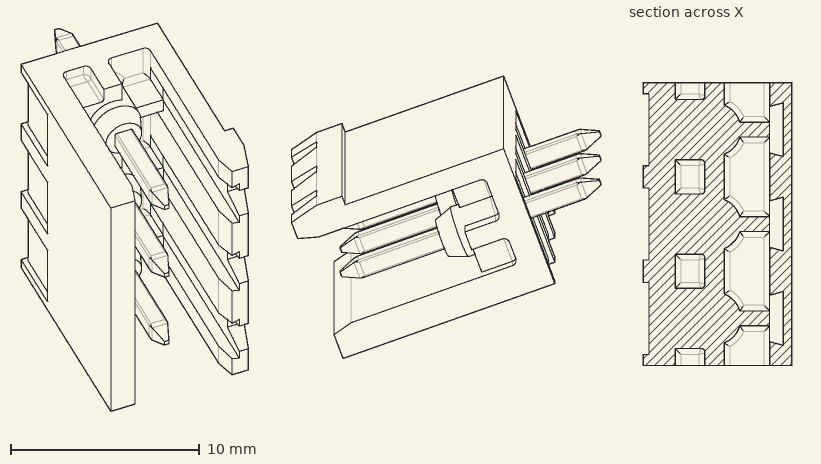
import cadquery as cq
import math


pole_count = 3
pitch = 5.0
height = pole_count * pitch
pin_y = 3.78
pole_heights = [(i + 0.5) * pitch for i in range(pole_count)]

housing_length = 11.95
back_thickness = 1.47
plain_wall_y = 1.7
latch_wall_inner_y = 6.7
latch_wall_outer_y = 7.88
mouth_taper_length = 1.08
mouth_taper_depth = 0.3
latch_start_x = 8.94
latch_flat_end_x = 10.37
latch_top_y = 8.38
latch_tip_y = 7.95

rib_end_x = 3.5
spine_width = 1.04
latch_rib_thickness = 0.8
plain_rib_thickness = 3.2
plain_rib_fillet_radius = 0.18
root_radius = 0.3
collar_diameter = 2.8
collar_tip_diameter = 2.06
collar_shoulder_x = 3.98
collar_tip_x = 4.97

groove_width = 2.45
groove_floor_y = 7.42
groove_flank_angle = 15.0
notch_inner_width = 1.08
notch_outer_width = 1.86

recess_height = 3.8
rear_recess_depth = 0.25
rear_recess_width = 6.0
side_recess_depth = 0.3
side_recess_length = 3.5

pin_width = 1.0
pin_tip_width = 0.26
pin_edge_radius = 0.1
pin_rear_x = -3.95
pin_front_x = 10.69
pin_taper_length = 1.05
pin_shoulder_radius = 0.85

selection_margin = 0.01


def box(x_range, y_range, z_range):
    """Axis-aligned block between the given limits."""
    lengths = [high - low for low, high in (x_range, y_range, z_range)]
    corner = (x_range[0], y_range[0], z_range[0])
    return cq.Workplane("XY").box(*lengths, centered=False).translate(corner)


def centered_range(middle, width):
    return (middle - width / 2, middle + width / 2)


def make_shell():
    """U-shaped housing with a latch lip, its back filled out to the height of the ribs."""
    taper_start_x = housing_length - mouth_taper_length
    outline = [
        (0, 0),
        (housing_length, 0),
        (housing_length, plain_wall_y - mouth_taper_depth),
        (taper_start_x, plain_wall_y),
        (rib_end_x, plain_wall_y),
        (rib_end_x, latch_wall_inner_y),
        (taper_start_x, latch_wall_inner_y),
        (housing_length, latch_wall_inner_y + mouth_taper_depth),
        (housing_length, latch_tip_y),
        (latch_flat_end_x, latch_top_y),
        (latch_start_x, latch_top_y),
        (latch_start_x, latch_wall_outer_y),
        (0, latch_wall_outer_y),
    ]
    return cq.Workplane("XY").polyline(outline).close().extrude(height)


def make_collar(z):
    """Round collar around a pin, with a flared root and a conical nose."""
    radius = collar_diameter / 2
    flare_radius = radius + root_radius
    flare_end_x = back_thickness + root_radius
    arc_inset = root_radius * (1 - math.sqrt(0.5))
    profile = (
        cq.Workplane("XY")
        .moveTo(back_thickness / 2, 0)
        .lineTo(back_thickness / 2, flare_radius)
        .lineTo(back_thickness, flare_radius)
        .threePointArc((back_thickness + arc_inset, radius + arc_inset), (flare_end_x, radius))
        .lineTo(collar_shoulder_x, radius)
        .lineTo(collar_tip_x, collar_tip_diameter / 2)
        .lineTo(collar_tip_x, 0)
        .close()
    )
    return profile.revolve(360, (0, 0, 0), (1, 0, 0)).translate((0, pin_y, z))


def make_pockets(y_range, rib_thickness):
    """Row of blocks along Z, to be cut between the ribs; the end blocks reach past the housing."""
    poles_below = [-pitch / 2] + pole_heights
    poles_above = pole_heights + [height + pitch / 2]
    pockets = []
    for lower_pole, upper_pole in zip(poles_below, poles_above):
        z_range = (lower_pole + rib_thickness / 2, upper_pole - rib_thickness / 2)
        pockets.append(box((back_thickness, rib_end_x), y_range, z_range))
    return pockets


def add_supports(housing):
    """Spine along Z, left between two rows of round-bottomed pockets, and a collar at each pole."""
    spine_low_y, spine_high_y = centered_range(pin_y, spine_width)
    for pocket in make_pockets((plain_wall_y, spine_low_y), plain_rib_thickness):
        pocket = pocket.edges("|X and >Y").fillet(plain_rib_fillet_radius)
        housing = housing.cut(pocket.faces("<X").edges().fillet(root_radius))
    for pocket in make_pockets((spine_high_y, latch_wall_inner_y), latch_rib_thickness):
        housing = housing.cut(pocket.faces("<X").edges().fillet(root_radius))
    for z in pole_heights:
        housing = housing.union(make_collar(z))
    return housing


def make_groove(z):
    """Groove along the latch wall, widening towards its floor."""
    start_x = back_thickness + root_radius
    flare = (groove_floor_y - latch_wall_inner_y) * math.tan(math.radians(groove_flank_angle))
    half_mouth = groove_width / 2
    half_floor = half_mouth + flare
    profile = [
        (latch_wall_inner_y, -half_mouth),
        (groove_floor_y, -half_floor),
        (groove_floor_y, half_floor),
        (latch_wall_inner_y, half_mouth),
    ]
    groove = cq.Workplane("YZ").polyline(profile).close().extrude(housing_length - start_x)
    return groove.translate((start_x, 0, z))


def make_notch(z):
    """Flared notch through the tapered end of the latch lip."""
    outline = [
        (latch_flat_end_x, -notch_inner_width / 2),
        (housing_length, -notch_outer_width / 2),
        (housing_length, notch_outer_width / 2),
        (latch_flat_end_x, notch_inner_width / 2),
    ]
    depth = latch_top_y - latch_wall_inner_y
    notch = cq.Workplane("XZ").polyline(outline).close().extrude(-depth)
    return notch.translate((0, latch_wall_inner_y, z))


def cut_pole_recesses(housing):
    """Latch-wall groove and notch, and the two outer recesses, at each pole."""
    for z in pole_heights:
        recess_z = centered_range(z, recess_height)
        housing = housing.cut(make_groove(z)).cut(make_notch(z))
        housing = housing.cut(box((0, rear_recess_depth), (0, rear_recess_width), recess_z))
        housing = housing.cut(box((0, side_recess_length), (0, side_recess_depth), recess_z))
    return housing


def make_pin_plate(plane):
    """Plate with the pin's side outline, its four shoulders rounded."""
    half_width = pin_width / 2
    half_tip = pin_tip_width / 2
    rear_shoulder_x = pin_rear_x + pin_taper_length
    front_shoulder_x = pin_front_x - pin_taper_length
    outline = [
        (pin_rear_x, -half_tip),
        (rear_shoulder_x, -half_width),
        (front_shoulder_x, -half_width),
        (pin_front_x, -half_tip),
        (pin_front_x, half_tip),
        (front_shoulder_x, half_width),
        (rear_shoulder_x, half_width),
        (pin_rear_x, half_tip),
    ]
    plate = cq.Workplane(plane).polyline(outline).close().extrude(half_width, both=True)
    shoulders = cq.selectors.BoxSelector(
        (rear_shoulder_x - selection_margin, -pin_width, -pin_width),
        (front_shoulder_x + selection_margin, pin_width, pin_width),
    )
    normal_axis = {"XY": "|Z", "XZ": "|Y"}[plane]
    return plate.edges(normal_axis).edges(shoulders).fillet(pin_shoulder_radius)


def make_pin():
    """Square pin along X with rounded long edges and a blunt pyramid at each end."""
    bar_x = (pin_rear_x, pin_front_x)
    side_range = centered_range(0, pin_width)
    bar = box(bar_x, side_range, side_range).edges("|X").fillet(pin_edge_radius)
    return bar.intersect(make_pin_plate("XY")).intersect(make_pin_plate("XZ"))


housing = cut_pole_recesses(add_supports(make_shell()))
pin = make_pin()
for pole_z in pole_heights:
    housing = housing.union(pin.translate((0, pin_y, pole_z)))

result = housing